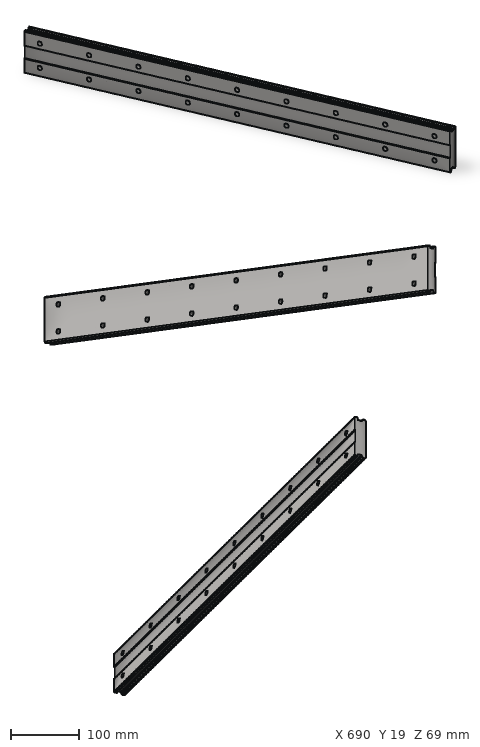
import cadquery as cq

LENGTH = 690.0
THICKNESS = 19.0
WIDTH = 69.0

LIP_CHAMFER = 1.0
LIP_CREST_END = 4.5
CHANNEL_START = 6.0
CHANNEL_END = 11.3
CHANNEL_DEPTH = 4.0
FLANK_KINK = 12.4
FLANK_KINK_DEPTH = 2.0
BEAD_CREST_INSET = 0.2
BEAD_CREST_START = 14.5
BEAD_CREST_END = 16.8
RUNNING_BEVEL_DEPTH = 2.4

HOLE_DIAMETER = 7.0
HOLE_PITCH = 80.0
HOLES_PER_ROW = 9
ROW_SPACING = 40.0

RECESS_MOUTH_WIDTH = 22.0
RECESS_DEPTH = 1.0

MOUNTING_FACE = -THICKNESS / 2


def rail_blank():
    """Extrude the section, which is symmetric about Z = 0, along X."""
    half = WIDTH / 2
    edge = [
        (0, half - LIP_CHAMFER),
        (LIP_CHAMFER, half),
        (LIP_CREST_END, half),
        (CHANNEL_START, half - CHANNEL_DEPTH),
        (CHANNEL_END, half - CHANNEL_DEPTH),
        (FLANK_KINK, half - FLANK_KINK_DEPTH),
        (BEAD_CREST_START, half - BEAD_CREST_INSET),
        (BEAD_CREST_END, half - BEAD_CREST_INSET),
        (THICKNESS, half - RUNNING_BEVEL_DEPTH),
    ]
    upper = [(MOUNTING_FACE + height, z) for height, z in edge]
    lower = [(y, -z) for y, z in reversed(upper)]
    section = cq.Workplane("YZ").polyline(upper + lower).close()
    return section.extrude(LENGTH / 2, both=True)


def mounting_holes():
    """Two rows of plain holes through the full thickness."""
    return (
        cq.Workplane("XZ")
        .rarray(HOLE_PITCH, ROW_SPACING, HOLES_PER_ROW, 2)
        .circle(HOLE_DIAMETER / 2)
        .extrude(THICKNESS, both=True)
    )


def mounting_recess():
    """Full-length recess that splits the mounting face into two seating strips."""
    mouth = RECESS_MOUTH_WIDTH / 2
    floor = mouth - RECESS_DEPTH
    floor_y = MOUNTING_FACE + RECESS_DEPTH
    outline = [(MOUNTING_FACE, -mouth), (MOUNTING_FACE, mouth), (floor_y, floor), (floor_y, -floor)]
    return cq.Workplane("YZ").polyline(outline).close().extrude(LENGTH / 2, both=True)


result = rail_blank().cut(mounting_holes()).cut(mounting_recess())